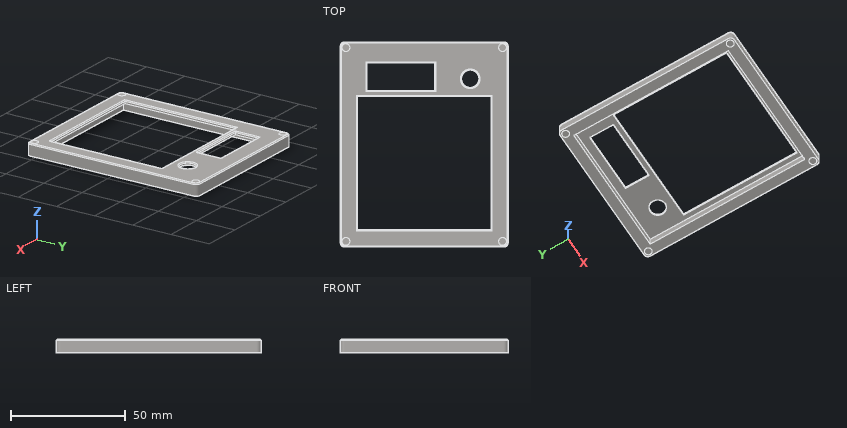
import cadquery as cq

width = 73.2
length = 89.4
height = 6.0
corner_radius = 2.0
edge_chamfer = 0.5

plate_thickness = 1.5
rim_width = 5.1

large_margin = 7.6
large_side = width - 2 * large_margin
large_center = (0, -length / 2 + large_margin + large_side / 2)

small_width = 29.4
small_length = 12.0
small_center = (-10.2, 29.5)

hole_diameter = 7.5
hole_center = (20.0, 28.6)

pin_diameter = 3.4
pin_inset = 2.5
pin_x = width / 2 - pin_inset
pin_y = length / 2 - pin_inset
pin_centers = [(x, y) for x in (-pin_x, pin_x) for y in (-pin_y, pin_y)]


def flared_window(center, size_x, size_y):
    """Cutter for a rectangular window whose top edge is chamfered."""
    through = cq.Workplane("XY").center(*center).rect(size_x, size_y).extrude(height)
    flare = (
        cq.Workplane("XY", origin=(0, 0, height - edge_chamfer))
        .center(*center)
        .rect(size_x, size_y)
        .workplane(offset=edge_chamfer)
        .rect(size_x + 2 * edge_chamfer, size_y + 2 * edge_chamfer)
        .loft(ruled=True)
    )
    return through.union(flare)


def flared_hole():
    """Cutter for the round hole with its chamfered top edge."""
    through = cq.Workplane("XY").center(*hole_center).circle(hole_diameter / 2).extrude(height)
    flare = (
        cq.Workplane("XY", origin=(0, 0, height - edge_chamfer))
        .center(*hole_center)
        .circle(hole_diameter / 2)
        .workplane(offset=edge_chamfer)
        .circle(hole_diameter / 2 + edge_chamfer)
        .loft(ruled=True)
    )
    return through.union(flare)


def make_pin(center):
    """Plain pin running through the full height of the frame."""
    return cq.Workplane("XY").center(*center).circle(pin_diameter / 2).extrude(height)


def make_frame():
    """Hollowed frame with two windows, a round hole and four pin holes."""
    frame = (
        cq.Workplane("XY")
        .rect(width, length)
        .extrude(height)
        .edges("|Z")
        .fillet(corner_radius)
        .faces(">Z")
        .edges()
        .chamfer(edge_chamfer)
    )
    hollow = (
        cq.Workplane("XY")
        .rect(width - 2 * rim_width, length - 2 * rim_width)
        .extrude(height - plate_thickness)
    )
    frame = frame.cut(hollow)
    frame = frame.cut(flared_window(large_center, large_side, large_side))
    frame = frame.cut(flared_window(small_center, small_width, small_length))
    frame = frame.cut(flared_hole())
    for center in pin_centers:
        frame = frame.cut(make_pin(center))
    return frame


frame = make_frame()
pins = [make_pin(center) for center in pin_centers]
result = cq.Compound.makeCompound([frame.val(), *[pin.val() for pin in pins]])